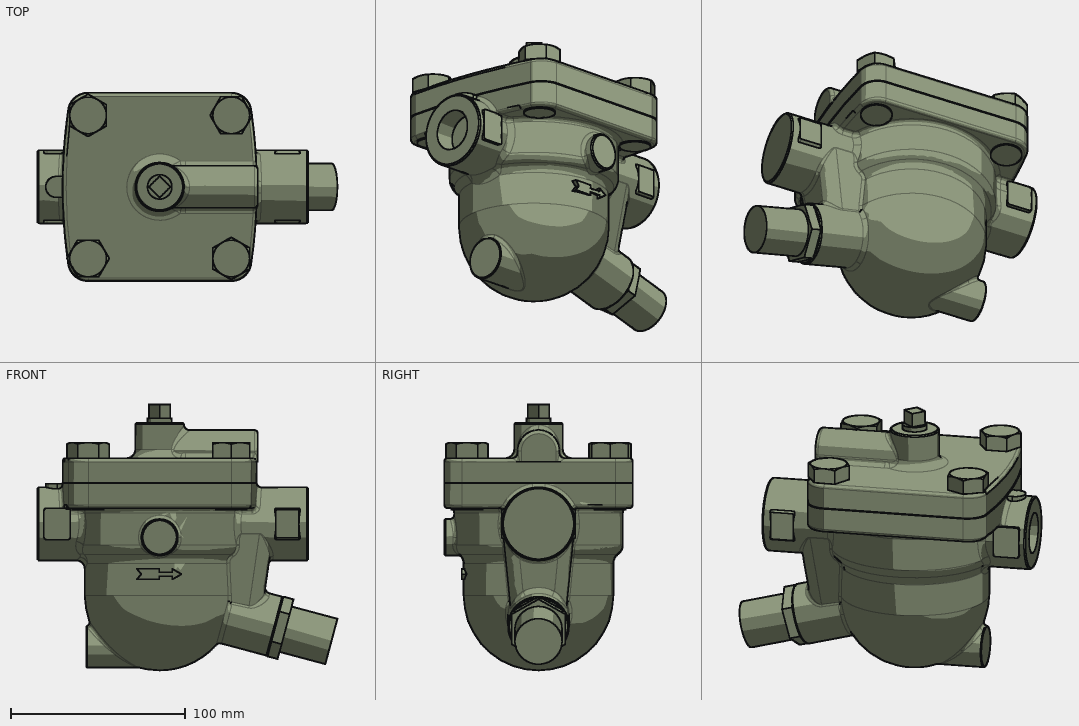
import cadquery as cq
import math


body_radius = 43.0
collar_radius = 48.4
dome_center_z = -41.0
shoulder_top_z = -12.1
shoulder_bottom_z = -22.5

flange_bottom_z = 9.0
joint_z = 23.4
cover_top_z = 37.7
gasket_thickness = 0.4
gasket_inset = 0.2
flange_half_x = 55.7
flange_half_y = 54.0
flange_edge_fillet = 2.0
bolt_offset = 41.0
corner_radius = 11.6
corner_center_x = 41.0
corner_center_y = flange_half_y - corner_radius
neck_fillet = 2.5

bolt_across_flats = 21.0
bolt_head_height = 8.8
bolt_pad_diameter = 18.0
bolt_pad_height = 0.8

port_radius = 21.0
inlet_end_x = -70.0
outlet_end_x = 85.0
port_chamfer = 0.8
port_fillet = 4.5
bore_diameter = 23.2
bore_depth = 12.7
wrench_pad_length = 15.2
wrench_pad_height = 18.0
wrench_pad_base_y = 19.0
inlet_pad_x = -58.7
outlet_pad_x = 73.2
pad_corner_radius = 1.5
outlet_pad_bevel = 1.0

lug_radius = 6.0
lug_center_x = -59.3
lug_top_z = 23.0

tower_diameter = 28.0
tower_top_z = 57.8
tower_chamfer = 0.8
tower_fillet = 5.0
stem_collar_diameter = 14.0
stem_collar_top_z = 60.5
stem_side = 8.75
stem_top_z = 68.5
passage_radius = 12.0
passage_top_z = 53.8
passage_end_x = 56.2
passage_foot_z = 35.7
passage_fillet = 3.0
passage_end_fillet = 2.0

side_boss_diameter = 21.0
side_boss_z = -7.7
side_boss_end_y = -54.0
side_boss_chamfer = 0.8
side_boss_fillet = 2.3

drain_radius = 12.0
drain_z = -70.4
drain_end_x = -42.0
drain_chamfer = 0.5
drain_fillet = 2.0

branch_angle = 15.0
branch_diameter = 35.0
branch_length = 68.7
branch_end_chamfer = 0.8
branch_fillet = 3.0
nut_across_corners = 35.5
nut_thickness = 6.0
pipe_diameter = 27.0
pipe_end = 101.87

web_top_z = 0.0
web_bottom_z = -50.0
web_inner_x = 20.0
web_top_outer_x = 65.8
web_bottom_outer_x = 58.6
web_top_half_y = 20.8
web_bottom_half_y = 15.8
web_edge_fillet = 8.0
web_fillet = 2.0

arrow_face_y = -44.0
arrow_z = -28.8
arrow_tail_x = -13.0
arrow_notch_x = -10.5
arrow_feather_end_x = -0.3
arrow_head_x = 7.3
arrow_tip_x = 12.5
arrow_half_width = 3.0
arrow_shaft_half_width = 1.1


def x_cylinder(start_x, end_x, radius, z):
    """Cylinder along X."""
    return cq.Workplane("YZ", origin=(start_x, 0, z)).circle(radius).extrude(end_x - start_x)


def z_cylinder(x, y, bottom_z, top_z, radius):
    """Cylinder along Z."""
    return cq.Workplane("XY", origin=(x, y, bottom_z)).circle(radius).extrude(top_z - bottom_z)


def lies_on(edge, shell):
    """True when an edge runs along the surface of a solid."""
    tolerance = 1e-3
    samples = [edge.positionAt(t) for t in (0.1, 0.5, 0.9)]
    return all(shell.distance(cq.Vertex.makeVertex(*p.toTuple())) < tolerance for p in samples)


def blend(base, addition, radius, min_x=-math.inf):
    """Join two solids and fillet the edges along which they meet, from min_x onwards."""
    joined = base.union(addition)
    base_shell = base.val().Shells()[0]
    added_shell = addition.val().Shells()[0]
    candidates = [e for e in joined.edges().vals() if e.Center().x > min_x]
    seam = [e for e in candidates if lies_on(e, added_shell) and lies_on(e, base_shell)]
    return joined.newObject(seam).fillet(radius)


def make_body():
    """Revolved shell whose shoulder is an S-curve of two equal arcs."""
    half_step = (collar_radius - body_radius) / 2
    half_height = (shoulder_top_z - shoulder_bottom_z) / 2
    sway_point = (body_radius + half_step, shoulder_top_z - half_height)
    dome_mid = body_radius * math.sqrt(0.5)
    return (
        cq.Workplane("XZ")
        .moveTo(0, flange_bottom_z)
        .lineTo(collar_radius, flange_bottom_z)
        .lineTo(collar_radius, shoulder_top_z)
        .tangentArcPoint(sway_point, relative=False)
        .tangentArcPoint((body_radius, shoulder_bottom_z), relative=False)
        .lineTo(body_radius, dome_center_z)
        .threePointArc((dome_mid, dome_center_z - dome_mid), (0, dome_center_z - body_radius))
        .close()
        .revolve(360, (0, 0, 0), (0, 1, 0))
    )


def make_ports():
    ports = x_cylinder(inlet_end_x, outlet_end_x, port_radius, 0)
    return ports.faces("<X or >X").chamfer(port_chamfer)


def make_web():
    top_length = web_top_outer_x - web_inner_x
    bottom_length = web_bottom_outer_x - web_inner_x
    web = (
        cq.Workplane("XY", origin=(web_inner_x, 0, web_top_z))
        .center(top_length / 2, 0)
        .rect(top_length, 2 * web_top_half_y)
        .workplane(offset=web_bottom_z - web_top_z)
        .center((bottom_length - top_length) / 2, 0)
        .rect(bottom_length, 2 * web_bottom_half_y)
        .loft(ruled=True)
    )
    outer_edges = web.faces(">X").edges("not(#Z)")
    return outer_edges.fillet(web_edge_fillet)


def branch_plane(distance):
    """Plane across the branch axis at a distance from the dome center."""
    angle = math.radians(branch_angle)
    axis = cq.Vector(math.cos(angle), 0, -math.sin(angle))
    origin = cq.Vector(0, 0, dome_center_z) + axis * distance
    return cq.Workplane(cq.Plane(origin, xDir=(0, 1, 0), normal=axis))


def make_branch():
    branch = branch_plane(0).circle(branch_diameter / 2).extrude(branch_length)
    return branch.faces(">X").chamfer(branch_end_chamfer)


def make_nut_and_pipe():
    nut_plane = branch_plane(branch_length).transformed(rotate=(0, 0, 30))
    nut = nut_plane.polygon(6, nut_across_corners).extrude(nut_thickness)
    pipe = branch_plane(branch_length).circle(pipe_diameter / 2).extrude(pipe_end - branch_length)
    return nut.union(pipe)


def make_side_boss():
    boss = (
        cq.Workplane("XZ", origin=(0, 0, side_boss_z))
        .circle(side_boss_diameter / 2)
        .extrude(-side_boss_end_y)
    )
    return boss.faces("<Y").chamfer(side_boss_chamfer)


def make_drain():
    drain = x_cylinder(drain_end_x, 0, drain_radius, drain_z)
    return drain.faces("<X").chamfer(drain_chamfer)


def flange_outline(bottom_z):
    """Rounded square; bowed left and right sides run tangent into the corner arcs."""
    reach = flange_half_x - corner_center_x
    bow_radius = (reach**2 + corner_center_y**2 - corner_radius**2) / (2 * (reach - corner_radius))
    end_angle = math.asin(corner_center_y / (bow_radius - corner_radius))
    mid_angle = (end_angle + math.pi / 2) / 2
    end_x = corner_center_x + corner_radius * math.cos(end_angle)
    end_y = corner_center_y + corner_radius * math.sin(end_angle)
    mid_x = corner_center_x + corner_radius * math.cos(mid_angle)
    mid_y = corner_center_y + corner_radius * math.sin(mid_angle)
    return (
        cq.Workplane("XY", origin=(0, 0, bottom_z))
        .moveTo(-corner_center_x, flange_half_y)
        .lineTo(corner_center_x, flange_half_y)
        .threePointArc((mid_x, mid_y), (end_x, end_y))
        .threePointArc((flange_half_x, 0), (end_x, -end_y))
        .threePointArc((mid_x, -mid_y), (corner_center_x, -flange_half_y))
        .lineTo(-corner_center_x, -flange_half_y)
        .threePointArc((-mid_x, -mid_y), (-end_x, -end_y))
        .threePointArc((-flange_half_x, 0), (-end_x, end_y))
        .threePointArc((-mid_x, mid_y), (-corner_center_x, flange_half_y))
        .close()
    )


def make_body_flange():
    thickness = joint_z - gasket_thickness / 2 - flange_bottom_z
    flange = flange_outline(flange_bottom_z).extrude(thickness)
    return flange.faces("<Z").edges().fillet(flange_edge_fillet)


def make_gasket():
    outline = flange_outline(joint_z - gasket_thickness / 2).offset2D(-gasket_inset)
    return outline.extrude(gasket_thickness)


def make_cover():
    bottom_z = joint_z + gasket_thickness / 2
    cover = flange_outline(bottom_z).extrude(cover_top_z - bottom_z)
    cover = cover.faces(">Z").edges().fillet(flange_edge_fillet)
    tower = z_cylinder(0, 0, bottom_z, tower_top_z, tower_diameter / 2)
    tower = tower.faces(">Z").chamfer(tower_chamfer)
    cover = cover.union(tower).union(make_passage())
    tower_and_passage_feet = cq.selectors.BoxSelector(
        (-tower_diameter, -tower_diameter / 2, cover_top_z - 0.1),
        (passage_end_x, tower_diameter / 2, cover_top_z + 0.1),
    )
    cover = cover.edges(tower_and_passage_feet).edges("%CIRCLE").fillet(tower_fillet)
    cover = cover.edges(tower_and_passage_feet).edges("|X").fillet(passage_fillet)
    return cover.union(make_stem())


def make_passage():
    """Round-topped duct running from the tower to just beyond the cover edge."""
    axis_z = passage_top_z - passage_radius
    duct = (
        cq.Workplane("YZ")
        .moveTo(-passage_radius, passage_foot_z)
        .lineTo(-passage_radius, axis_z)
        .threePointArc((0, passage_top_z), (passage_radius, axis_z))
        .lineTo(passage_radius, passage_foot_z)
        .close()
        .extrude(passage_end_x)
    )
    return duct.faces(">X").edges("not(<Z)").fillet(passage_end_fillet)


def make_stem():
    collar = z_cylinder(0, 0, tower_top_z, stem_collar_top_z, stem_collar_diameter / 2)
    square = (
        cq.Workplane("XY", origin=(0, 0, stem_collar_top_z))
        .transformed(rotate=(0, 0, 45))
        .rect(stem_side, stem_side)
        .extrude(stem_top_z - stem_collar_top_z)
    )
    return collar.union(square)


def make_bolt_head(x, y, rotation):
    """Hexagon head with its upper corners turned down to a cone."""
    across_corners = bolt_across_flats / math.cos(math.pi / 6)
    head = (
        cq.Workplane("XY", origin=(x, y, cover_top_z))
        .transformed(rotate=(0, 0, rotation))
        .polygon(6, across_corners)
        .extrude(bolt_head_height)
    )
    corner_height = (across_corners - bolt_across_flats) / 2
    turned = z_cylinder(x, y, cover_top_z, cover_top_z + bolt_head_height, across_corners / 2)
    turned = turned.faces(">Z").chamfer(corner_height / 2, corner_height)
    return head.intersect(turned)


def make_lug():
    length = lug_center_x + flange_half_x
    lug = z_cylinder(lug_center_x, 0, 0, lug_top_z, lug_radius)
    bridge = (
        cq.Workplane("XY", origin=(lug_center_x - length + lug_radius / 2, 0, 0))
        .rect(2 * lug_radius, 2 * lug_radius)
        .extrude(lug_top_z)
    )
    return lug.union(bridge)


def make_wrench_pad(x, side, bevel):
    """Raised flat level with the side of a port; its walls lean inwards by the bevel."""
    pad = (
        cq.Workplane("XZ")
        .sketch()
        .rect(wrench_pad_length, wrench_pad_height)
        .vertices()
        .fillet(pad_corner_radius)
        .finalize()
        .extrude(port_radius)
    )
    if bevel > 0:
        pad = pad.faces("<Y").chamfer(port_radius - wrench_pad_base_y, bevel)
    if side > 0:
        pad = pad.rotate((0, 0, 0), (0, 0, 1), 180)
    return pad.translate((x, 0, 0))


def make_arrow():
    upper = [
        (arrow_tail_x, arrow_half_width),
        (arrow_feather_end_x, arrow_half_width),
        (arrow_feather_end_x, arrow_shaft_half_width),
        (arrow_head_x, arrow_shaft_half_width),
        (arrow_head_x, arrow_half_width),
    ]
    lower = [(x, -half_width) for x, half_width in reversed(upper)]
    outline = upper + [(arrow_tip_x, 0)] + lower + [(arrow_notch_x, 0)]
    return cq.Workplane("XZ", origin=(0, 0, arrow_z)).polyline(outline).close().extrude(-arrow_face_y)


result = blend(make_body(), make_ports(), port_fillet)
result = blend(result, make_web(), web_fillet)
result = blend(result, make_branch(), branch_fillet)
result = result.union(make_nut_and_pipe())
result = blend(result, make_side_boss(), side_boss_fillet)
result = blend(result, make_drain(), drain_fillet)
result = blend(result, make_body_flange(), neck_fillet, -collar_radius)
result = result.union(make_gasket()).union(make_cover())
result = result.union(make_lug()).union(make_arrow())

for side_x in (-1, 1):
    for side_y in (-1, 1):
        bolt_x = side_x * bolt_offset
        bolt_y = side_y * bolt_offset
        head_rotation = 0 if side_x == side_y else 30
        result = result.union(make_bolt_head(bolt_x, bolt_y, head_rotation))
        pad_bottom_z = flange_bottom_z - bolt_pad_height
        pad = z_cylinder(bolt_x, bolt_y, pad_bottom_z, flange_bottom_z, bolt_pad_diameter / 2)
        result = result.union(pad)

for side in (-1, 1):
    result = result.union(make_wrench_pad(inlet_pad_x, side, 0))
    result = result.union(make_wrench_pad(outlet_pad_x, side, outlet_pad_bevel))

result = result.cut(x_cylinder(inlet_end_x, inlet_end_x + bore_depth, bore_diameter / 2, 0))